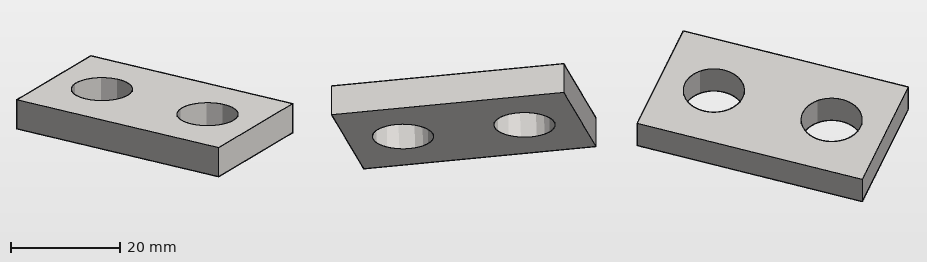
import cadquery as cq

length = 43.7
width = 25.4
thickness = 5.75

hole_diameter = 11.2
hole_spacing = 22.85

plate = cq.Workplane("XY").box(length, width, thickness)

hole_centres = [(-hole_spacing / 2, 0), (hole_spacing / 2, 0)]
result = plate.faces(">Z").workplane().pushPoints(hole_centres).hole(hole_diameter)